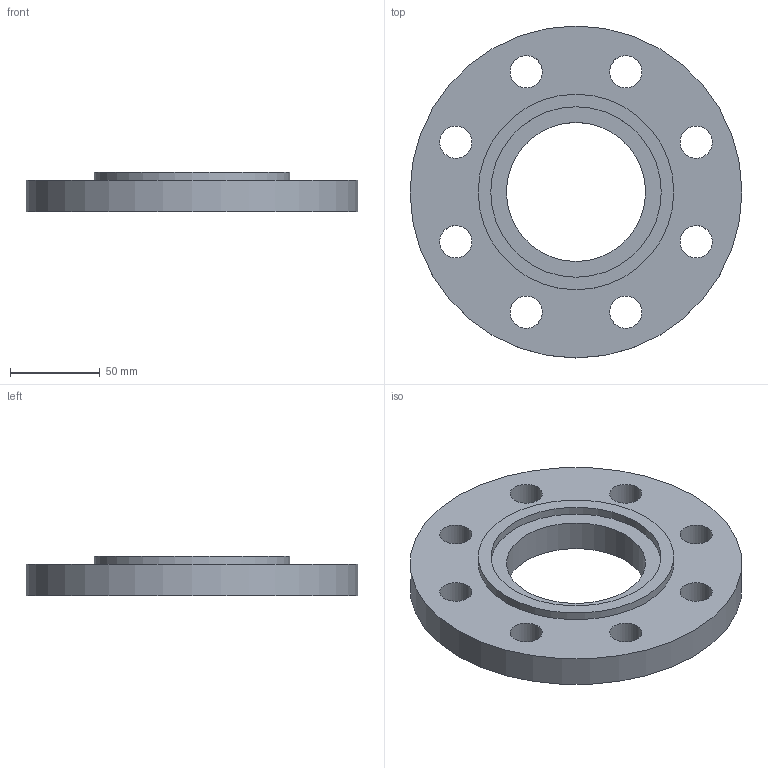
import cadquery as cq

flange_diameter = 185.0
total_height = 22.0
hub_height = 4.5
plate_thickness = total_height - hub_height

hub_diameter = 109.0
recess_diameter = 95.0
recess_depth = 4.5
bore_diameter = 77.5

bolt_count = 8
bolt_circle_diameter = 145.0
bolt_hole_diameter = 18.0
bolt_start_angle = 360.0 / bolt_count / 2


def flange_body():
    """Round plate with the raised hub on its top face."""
    plate = cq.Workplane("XY").circle(flange_diameter / 2).extrude(plate_thickness)
    return plate.faces(">Z").workplane().circle(hub_diameter / 2).extrude(hub_height)


def stepped_bore(body):
    """Cut the through bore and the wider recess in the hub face."""
    return body.faces(">Z").workplane().cboreHole(bore_diameter, recess_diameter, recess_depth)


def bolt_holes(body):
    """Drill the ring of bolt holes through the plate."""
    return (
        body.faces("<Z")
        .workplane()
        .polarArray(bolt_circle_diameter / 2, bolt_start_angle, 360, bolt_count)
        .hole(bolt_hole_diameter)
    )


result = bolt_holes(stepped_bore(flange_body()))